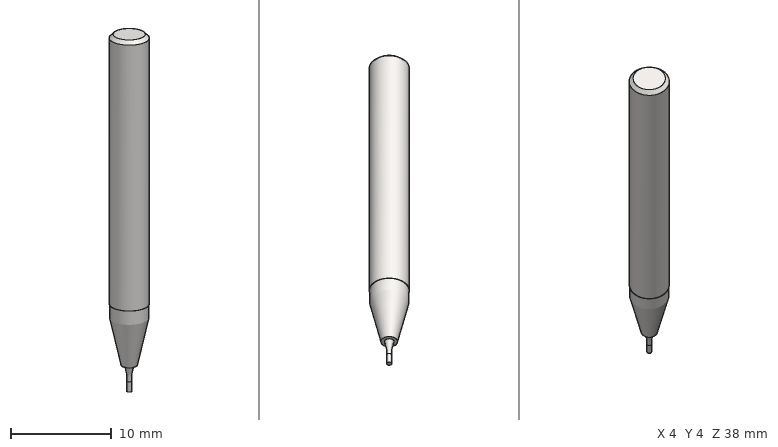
import cadquery as cq
import math

tool_length = 38.0
tip_z = -tool_length / 2
top_z = tool_length / 2

cutter_diameter = 0.5
cutter_radius = cutter_diameter / 2
cutter_length = 1.1
cutter_top_z = tip_z + cutter_length

neck_straight_end_z = tip_z + 1.6
neck_fillet_radius = 1.5
neck_cone_angle = math.radians(12.5)

cone_bottom_z = tip_z + 2.8
cone_top_z = tip_z + 7.8
cone_small_radius = 1.65 / 2

collar_radius = 3.92 / 2

shank_radius = 4.0 / 2
shank_bottom_z = tip_z + 9.3
shank_chamfer = 0.4


def flare_point(turn):
    """Return (radius, z) on the neck fillet after it has turned outward by the given angle."""
    radius = cutter_radius + neck_fillet_radius * (1 - math.cos(turn))
    z = neck_straight_end_z + neck_fillet_radius * math.sin(turn)
    return radius, z


def make_cutter():
    """Plain cylinder at the lower end of the tool."""
    return cq.Workplane("XY", origin=(0, 0, tip_z)).circle(cutter_radius).extrude(cutter_length)


def make_holder():
    """Neck, head cone, collar and shank turned as one profile."""
    flare_radius, flare_z = flare_point(neck_cone_angle)
    neck_top_radius = flare_radius + (cone_bottom_z - flare_z) * math.tan(neck_cone_angle)
    profile = (
        cq.Workplane("XZ")
        .moveTo(0, cutter_top_z)
        .lineTo(cutter_radius, cutter_top_z)
        .lineTo(cutter_radius, neck_straight_end_z)
        .threePointArc(flare_point(neck_cone_angle / 2), (flare_radius, flare_z))
        .lineTo(neck_top_radius, cone_bottom_z)
        .lineTo(cone_small_radius, cone_bottom_z)
        .lineTo(collar_radius, cone_top_z)
        .lineTo(collar_radius, shank_bottom_z)
        .lineTo(shank_radius, shank_bottom_z)
        .lineTo(shank_radius, top_z - shank_chamfer)
        .lineTo(shank_radius - shank_chamfer, top_z)
        .lineTo(0, top_z)
        .close()
    )
    return profile.revolve(360, (0, 0, 0), (0, 1, 0))


cutter = make_cutter()
holder = make_holder()
result = cq.Compound.makeCompound([cutter.val(), holder.val()])